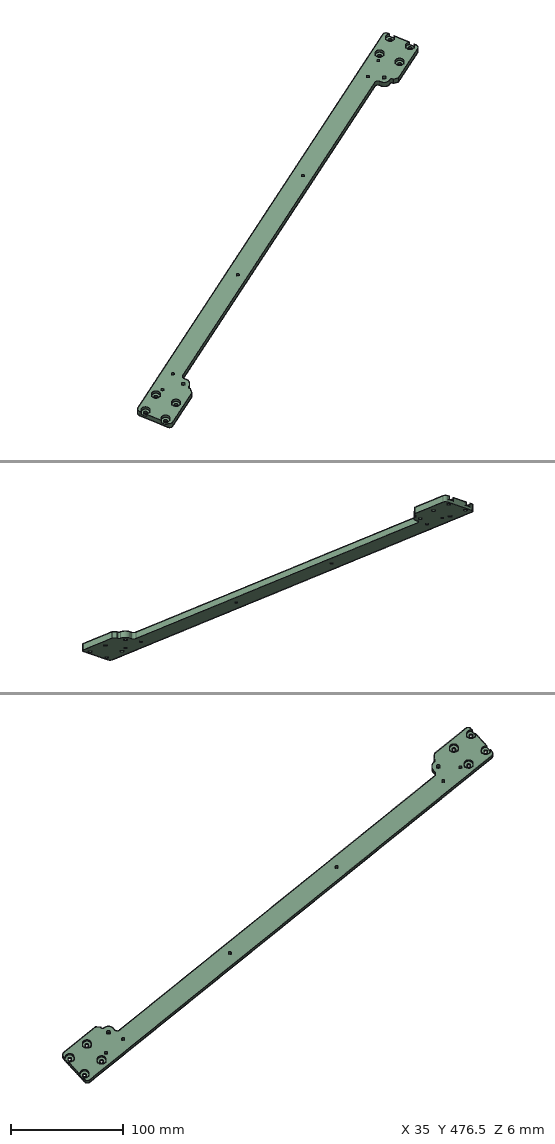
import cadquery as cq
import math

length = 476.5
width = 35.0
thickness = 6.0
bar_width = 18.5
corner_radius = 3.0

head_side_length = 40.0
head_chamfer = 3.5
neck_radius = 3.0
lobe_radius = 5.5
lobe_x = 23.5
lobe_from_end = 45.3
lobe_fillet = 1.5

screw_rows = 2
screw_pitch = 20.0
screw_from_end = 3.5
screw_diameter = 3.5
counterbore_diameter = 8.0
counterbore_depth = 3.5

lobe_hole_diameter = 3.5
line_hole_x = 10.0
line_hole_pitch = 125.0
line_hole_count = 4
line_hole_diameter = 2.52
pin_from_end = 31.0
pin_diameter = 2.52

half_length = length / 2
left = -width / 2
right = width / 2
bar_right = left + bar_width
lobe_center_x = left + lobe_x
signs = (-1, 1)


def make_bar():
    """Narrow bar running the full length."""
    bar_center_x = (left + bar_right) / 2
    return cq.Workplane("XY").box(bar_width, length, thickness).translate((bar_center_x, 0, 0))


def make_head():
    """Wide head at the +Y end, with a rounded lobe beside the neck."""
    end_y = half_length
    lobe_y = end_y - lobe_from_end
    side_y = end_y - head_side_length
    step_y = side_y - head_chamfer
    lobe_bottom = lobe_y - lobe_radius
    lobe_right = lobe_center_x + lobe_radius
    arc_mid = lobe_radius * math.sqrt(0.5)
    step_corner = (lobe_right, step_y, 0)
    head = (
        cq.Workplane("XY")
        .workplane(offset=-thickness / 2)
        .moveTo(left, end_y)
        .lineTo(right, end_y)
        .lineTo(right, side_y)
        .lineTo(right - head_chamfer, step_y)
        .lineTo(lobe_right, step_y)
        .lineTo(lobe_right, lobe_y)
        .threePointArc(
            (lobe_center_x + arc_mid, lobe_y - arc_mid),
            (lobe_center_x, lobe_bottom),
        )
        .lineTo(bar_right + neck_radius, lobe_bottom)
        .radiusArc((bar_right, lobe_bottom - neck_radius), -neck_radius)
        .lineTo(left, lobe_bottom - neck_radius)
        .close()
        .extrude(thickness)
    )
    return head.edges(cq.selectors.NearestToPointSelector(step_corner)).fillet(lobe_fillet)


def drill(solid, points, diameter, depth=thickness):
    """Cut round holes of the given depth down from the top face."""
    cutters = (
        cq.Workplane("XY")
        .workplane(offset=thickness / 2)
        .pushPoints(points)
        .circle(diameter / 2)
        .extrude(-depth)
    )
    return solid.cut(cutters)


def at_both_ends(x, from_end):
    """Matching points at the two ends of the part."""
    return [(x, sign * (half_length - from_end)) for sign in signs]


line_x = left + line_hole_x
line_start_y = -(line_hole_count - 1) / 2 * line_hole_pitch
line_points = [(line_x, line_start_y + i * line_hole_pitch) for i in range(line_hole_count)]
lobe_points = at_both_ends(lobe_center_x, lobe_from_end)
pin_points = at_both_ends(line_x, pin_from_end)
screw_points = [
    point
    for side in signs
    for row in range(screw_rows)
    for point in at_both_ends(side * screw_pitch / 2, screw_from_end + row * screw_pitch)
]

head = make_head()
body = make_bar().union(head).union(head.mirror("XZ"))
body = body.edges("|Z and (>Y or <Y)").fillet(corner_radius)

body = drill(body, screw_points, screw_diameter)
body = drill(body, screw_points, counterbore_diameter, counterbore_depth)
body = drill(body, lobe_points, lobe_hole_diameter)
body = drill(body, line_points, line_hole_diameter)
body = drill(body, pin_points, pin_diameter)

result = body